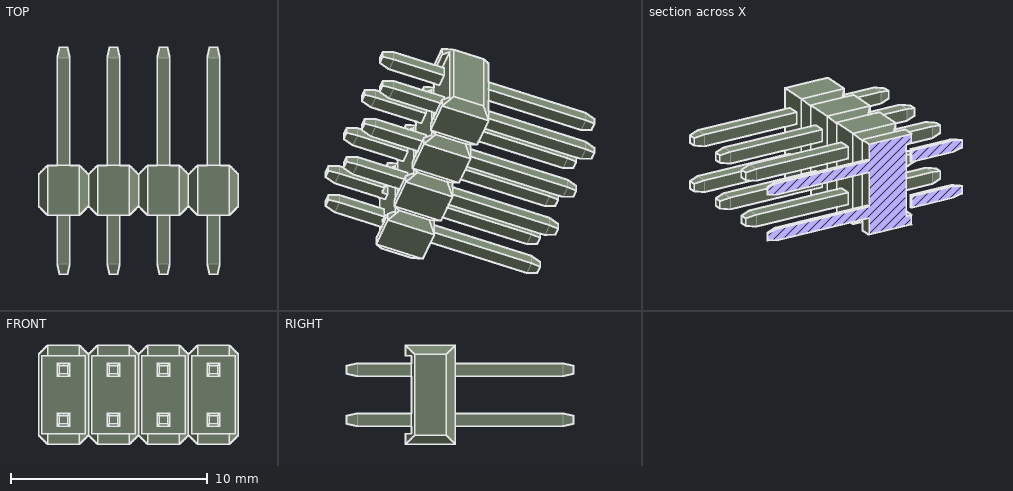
import cadquery as cq

COLUMNS = 4
ROWS = 2
PITCH = 2.54

BLOCK_DEPTH = 2.54
BLOCK_HEIGHT = 5.04
SIDE_CHAMFER = 0.46

SLOT_DEPTH = 0.3
SLOT_HEIGHT = 3.96

PIN_WIDTH = 0.66
TIP_WIDTH = 0.42
TIP_LENGTH = 0.54
FRONT_LENGTH = 3.0
BACK_LENGTH = 6.0

NOTCH_WIDTH = PIN_WIDTH / 2

FRONT_Y = -BLOCK_DEPTH / 2
BACK_Y = BLOCK_DEPTH / 2


def grid_positions(count):
    """Centre positions of evenly pitched items, symmetric about zero."""
    return [(i - (count - 1) / 2) * PITCH for i in range(count)]


def make_block(x):
    """Housing block with all four edges of both X faces chamfered."""
    block = cq.Workplane("XY").box(PITCH, BLOCK_DEPTH, BLOCK_HEIGHT)
    return block.faces("<X or >X").edges().chamfer(SIDE_CHAMFER).translate((x, 0, 0))


def make_slot():
    """Cutter for the relief slot running the full length of the front face."""
    slot = cq.Workplane("XY").box(COLUMNS * PITCH, SLOT_DEPTH, SLOT_HEIGHT)
    return slot.translate((0, FRONT_Y + SLOT_DEPTH / 2, 0))


def make_tip(x, z, base_y, end_y):
    """Tapered pin end, narrowing from the full pin width at base_y to end_y."""
    base = cq.Workplane("XZ", origin=(x, base_y, z)).rect(PIN_WIDTH, PIN_WIDTH)
    return base.workplane(offset=base_y - end_y).rect(TIP_WIDTH, TIP_WIDTH).loft(combine=True)


def make_pin(x, z):
    """Square pin through the housing with a tapered tip at each end."""
    front_end = FRONT_Y - FRONT_LENGTH
    back_end = BACK_Y + BACK_LENGTH
    front_base = front_end + TIP_LENGTH
    back_base = back_end - TIP_LENGTH
    shaft = cq.Workplane("XY").box(PIN_WIDTH, back_base - front_base, PIN_WIDTH)
    shaft = shaft.translate((x, (front_base + back_base) / 2, z))
    front_tip = make_tip(x, z, front_base, front_end)
    back_tip = make_tip(x, z, back_base, back_end)
    return shaft.union(front_tip).union(back_tip)


def make_pin_notch(x, z):
    """Cutter, one slot deep, for the +X side of a pin where it leaves the slot floor."""
    notch = cq.Workplane("XY").box(NOTCH_WIDTH, SLOT_DEPTH, PIN_WIDTH)
    notch_x = x + PIN_WIDTH / 2 - NOTCH_WIDTH / 2
    return notch.translate((notch_x, FRONT_Y + SLOT_DEPTH / 2, z))


columns = grid_positions(COLUMNS)
rows = grid_positions(ROWS)

housing = make_block(columns[0])
for column_x in columns[1:]:
    housing = housing.union(make_block(column_x))

result = housing.cut(make_slot())
for column_x in columns:
    for row_z in rows:
        result = result.union(make_pin(column_x, row_z))

for row_z in rows:
    result = result.cut(make_pin_notch(columns[0], row_z))